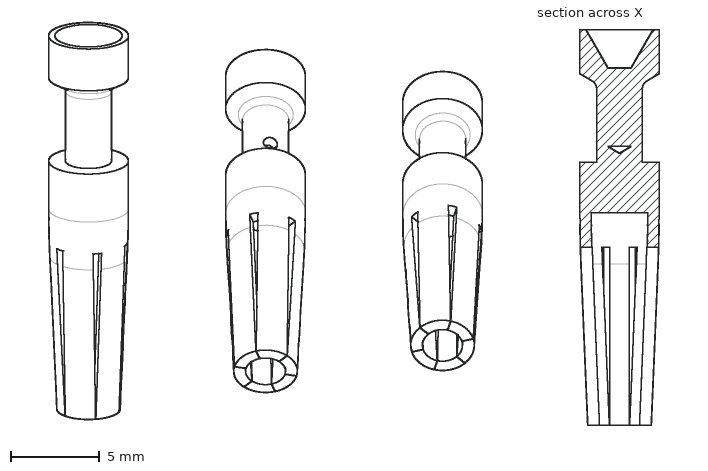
import cadquery as cq
import math

length = 22.3
outer_radius = 2.25
neck_radius = 1.305
head_height = 2.5
shoulder_z = 14.83
neck_cone_angle = 30.0
neck_fillet = 0.5

bend_top_z = 11.98
bend_bottom_z = 9.1
taper_end_radius = 1.795
socket_wall = 0.67

slot_count = 6
slot_top_z = 10.04
slot_top_width = 0.5
slot_tip_width = 0.02

cup_mouth_radius = 1.9
wire_bore_radius = 0.65
cup_cone_depth = 2.16
wire_bore_end_z = 15.72
drill_tip_angle = 118.0
inspection_diameter = 0.8
inspection_z = 16.12

bend_height = bend_top_z - bend_bottom_z
taper_slope = (outer_radius - taper_end_radius) / (bend_bottom_z + bend_height / 2)
bend_offset = taper_slope * bend_height / 2


def add_socket_wall(profile, start_radius, tip_radius):
    """Continue a profile from the top of the bend, along the arc and the taper, to the tip."""
    bend_end = (start_radius - bend_offset, bend_bottom_z)
    bend_middle = (start_radius - bend_offset / 4, bend_bottom_z + bend_height / 2)
    return profile.threePointArc(bend_middle, bend_end).lineTo(tip_radius, 0)


def make_body():
    cone_bottom_z = length - head_height
    neck_top_z = cone_bottom_z - (outer_radius - neck_radius) * math.tan(math.radians(neck_cone_angle))
    turn = math.radians(90 - neck_cone_angle)
    tangent_length = neck_fillet * math.tan(turn / 2)
    fillet_start = (
        neck_radius + tangent_length * math.cos(math.radians(neck_cone_angle)),
        neck_top_z + tangent_length * math.sin(math.radians(neck_cone_angle)),
    )
    fillet_end = (neck_radius, neck_top_z - tangent_length)
    profile = (
        cq.Workplane("XZ")
        .moveTo(0, length)
        .lineTo(outer_radius, length)
        .lineTo(outer_radius, cone_bottom_z)
        .lineTo(*fillet_start)
        .tangentArcPoint(fillet_end, relative=False)
        .lineTo(neck_radius, shoulder_z)
        .lineTo(outer_radius, shoulder_z)
        .lineTo(outer_radius, bend_top_z)
    )
    profile = add_socket_wall(profile, outer_radius, taper_end_radius)
    return profile.lineTo(0, 0).close().revolve(360, (0, 0), (0, 1))


def make_socket_bore():
    """Flat-ended bore that follows the bent outer wall."""
    bore_radius = outer_radius - socket_wall
    profile = cq.Workplane("XZ").moveTo(0, bend_top_z)
    profile = profile.lineTo(bore_radius, bend_top_z)
    profile = add_socket_wall(profile, bore_radius, taper_end_radius - socket_wall)
    return profile.lineTo(0, 0).close().revolve(360, (0, 0), (0, 1))


def make_wire_cup():
    """Conical mouth, straight bore and drill-point bottom."""
    cone_end_z = length - cup_cone_depth
    tip_depth = wire_bore_radius / math.tan(math.radians(drill_tip_angle / 2))
    return (
        cq.Workplane("XZ")
        .moveTo(0, length)
        .lineTo(cup_mouth_radius, length)
        .lineTo(wire_bore_radius, cone_end_z)
        .lineTo(wire_bore_radius, wire_bore_end_z)
        .lineTo(0, wire_bore_end_z - tip_depth)
        .close()
        .revolve(360, (0, 0), (0, 1))
    )


def make_slot():
    """Tapered radial slot on the -Y side, open at the tip."""
    return (
        cq.Workplane("XZ")
        .polyline([
            (-slot_tip_width / 2, 0),
            (slot_tip_width / 2, 0),
            (slot_top_width / 2, slot_top_z),
            (-slot_top_width / 2, slot_top_z),
        ])
        .close()
        .extrude(outer_radius)
    )


def make_inspection_hole():
    """Radial hole from the -X side into the wire bore."""
    return (
        cq.Workplane("YZ")
        .center(0, inspection_z)
        .circle(inspection_diameter / 2)
        .extrude(-neck_radius)
    )


result = make_body().cut(make_socket_bore()).cut(make_wire_cup()).cut(make_inspection_hole())
for index in range(slot_count):
    angle = index * 360 / slot_count
    result = result.cut(make_slot().rotate((0, 0, 0), (0, 0, 1), angle))